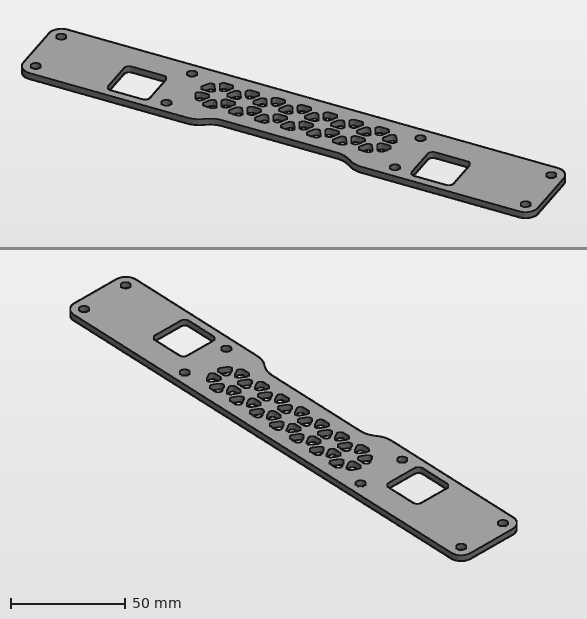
import cadquery as cq
import math

length = 251.8
width = 37.5
thickness = 3.3
corner_radius = 6.0

relief_depth = 5.0
relief_half_length = 28.0
ramp_run = 14.9

screw_diameter = 4.5
screw_outer_x = 119.8
screw_inner_x = 56.0
screw_y = 12.5

window_size = 20.5
window_corner_radius = 2.5
window_x = 74.3
window_y = -4.5

vents_at_middle = 8
vent_row_span = 89.0
vent_pitch = vent_row_span / (vents_at_middle - 1)
vent_web = 2.15
vent_corner_radius = 1.8
vent_middle_y = 2.5


def make_plate():
    """Plate with its underside at Z = 0; each ramp is two equal tangent arcs of opposite curvature."""
    front_y = -width / 2
    relief_y = front_y + relief_depth
    ramp_middle = (relief_half_length + ramp_run / 2, front_y + relief_depth / 2)
    ramp_end = (relief_half_length + ramp_run, front_y)
    half_plate = (
        cq.Workplane("XY")
        .moveTo(0, relief_y)
        .lineTo(relief_half_length, relief_y)
        .tangentArcPoint(ramp_middle, relative=False)
        .tangentArcPoint(ramp_end, relative=False)
        .lineTo(length / 2 - corner_radius, front_y)
        .tangentArcPoint((length / 2, front_y + corner_radius), relative=False)
        .lineTo(length / 2, width / 2 - corner_radius)
        .tangentArcPoint((length / 2 - corner_radius, width / 2), relative=False)
        .lineTo(0, width / 2)
        .close()
        .extrude(thickness)
    )
    return half_plate.union(half_plate.mirror("YZ")).clean()


def make_screw_holes():
    points = [
        (side * x, y)
        for side in (-1, 1)
        for x in (screw_inner_x, screw_outer_x)
        for y in (-screw_y, screw_y)
    ]
    return cq.Workplane("XY").pushPoints(points).circle(screw_diameter / 2).extrude(thickness)


def make_windows():
    return (
        cq.Workplane("XY")
        .pushPoints([(-window_x, window_y), (window_x, window_y)])
        .rect(window_size, window_size)
        .extrude(thickness)
        .edges("|Z")
        .fillet(window_corner_radius)
    )


def make_vent_row(count, centre_y, direction):
    """Row of rounded triangles pointing toward +Y (direction 1) or -Y (direction -1)."""
    cell_inradius = vent_pitch / (2 * math.sqrt(3))
    vent_circumradius = 2 * (cell_inradius - vent_web / 2)
    tip_angles = [math.radians(angle) for angle in (90, 210, 330)]
    triangle = [
        (vent_circumradius * math.cos(angle), direction * vent_circumradius * math.sin(angle))
        for angle in tip_angles
    ]
    vent = (
        cq.Workplane("XY")
        .polyline(triangle)
        .close()
        .extrude(thickness)
        .edges("|Z")
        .fillet(vent_corner_radius)
        .val()
    )
    first_x = -(count - 1) * vent_pitch / 2
    row = cq.Workplane("XY")
    for index in range(count):
        row.add(vent.translate(cq.Vector(first_x + index * vent_pitch, centre_y, 0)))
    return row.combine()


result = make_plate().cut(make_screw_holes()).cut(make_windows())

lattice_height = vent_pitch * math.sqrt(3) / 2
for side in (-1, 1):
    inner_y = vent_middle_y + side * lattice_height / 3
    outer_y = vent_middle_y + side * lattice_height * 2 / 3
    result = result.cut(make_vent_row(vents_at_middle, inner_y, side))
    result = result.cut(make_vent_row(vents_at_middle - 1, outer_y, -side))